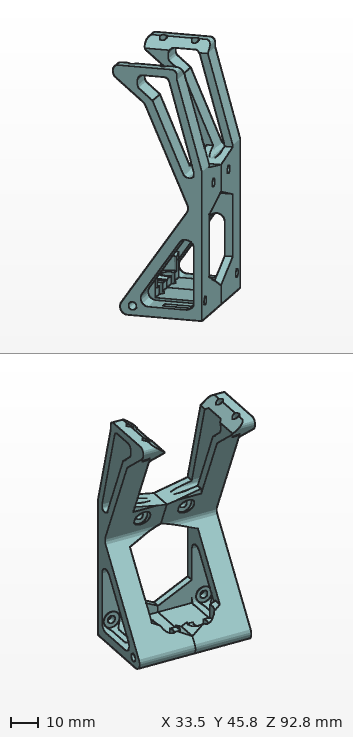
import cadquery as cq
import math


depth = 33.5
width = 45.8
height = 92.8
half_width = width / 2
half_gap = 13.9
plate_middle_y = (half_gap + half_width) / 2

tip_x, tip_z = 28.7, 41.3
bend_x, bend_z = 11.9, 79.4
arm_nose_z = 89.0
arm_top_length = 24.1
arm_back_z = 89.1
rear_face_top = 55.7
outline_radius = 3.0
top_radius = 2.0

wall = 3.1
rear_wall_x = depth - wall
window_radius = 3.0
upper_window_front = 9.3
upper_window_front_z = 85.3
upper_window_bend_x, upper_window_bend_z = 14.9, 80.6
upper_window_bottom = 53.0
upper_window_bottom_x = 27.0
upper_window_rear_z = 55.2
upper_window_radius = 2.0
sill_z = 3.7
lower_window_front_x = 7.8

floor_z = 4.6
front_block_x = 13.2
web_front_x = 23.7
web_ridge_z = 52.2
web_side_z = 54.9
opening_bottom_z = 7.2
opening_bottom_side_z = 14.1
opening_top_side_z = 37.4
opening_top_z = 42.1

arm_chamfer_y = 4.8
arm_chamfer_z = 3.8
arm_hole_diameter = 2.7
arm_hole_front_x = 6.0
arm_hole_rear_x = 18.0

pivot_diameter = 3.0
pivot_x, pivot_z = 7.4, 3.5
web_hole_diameter = 3.0
web_head_diameter = 6.5
web_hole_y, web_hole_z = 9.0, 48.0
web_head_x = 27.9
floor_hole_diameter = 5.3
floor_head_diameter = 9.8
floor_hole_x, floor_hole_y = 11.6, 7.0
floor_head_z = 7.7
rear_hole_diameter = 3.0
rear_head_diameter = 6.5
rear_hole_y, rear_hole_z = 18.9, 6.7
rear_head_start_x = 18.0
rear_head_recess = 0.2
rear_head_seat_x = rear_wall_x + rear_head_recess


def prism_along_y(points, y_from, y_to):
    """Solid with an X-Z outline between two Y positions."""
    sketch = cq.Workplane("XZ", origin=(0, y_from, 0)).polyline(points).close()
    return sketch.extrude(y_from - y_to)


def prism_along_x(points):
    """Solid with a Y-Z outline over the full depth."""
    return cq.Workplane("YZ").polyline(points).close().extrude(depth)


def box(x_range, y_range, z_range):
    """Box given by its limits on each axis."""
    size = [high - low for low, high in (x_range, y_range, z_range)]
    corner = (x_range[0], y_range[0], z_range[0])
    return cq.Workplane("XY").box(*size, centered=False).translate(corner)


def round_corners(body, corners, radius):
    """Round the edges along Y that stand at the given X-Z corners."""
    reach = 0.05
    for x, z in corners:
        selector = cq.selectors.BoxSelector(
            (x - reach, -width, z - reach), (x + reach, width, z + reach)
        )
        body = body.edges("|Y").edges(selector).fillet(radius)
    return body


def side_outline_solid():
    """Full side profile over one half of the width."""
    nose = (0, 0)
    tip = (tip_x, tip_z)
    bend = (bend_x, bend_z)
    arm_nose = (0, arm_nose_z)
    arm_front_top = (0, height)
    arm_rear_top = (arm_top_length, height)
    arm_back = (arm_top_length, arm_back_z)
    points = [
        nose, tip, bend, arm_nose, arm_front_top, arm_rear_top, arm_back,
        (depth, rear_face_top), (depth, 0),
    ]
    body = prism_along_y(points, 0, half_width)
    body = round_corners(body, [nose, tip, bend, arm_nose], outline_radius)
    return round_corners(body, [arm_front_top, arm_rear_top], top_radius)


def upper_window():
    """Window in the arm; it runs on to the middle plane and scoops the top of the web.

    Its foot is one smooth curve from the sloping front edge to the upright rear edge.
    """
    top_z = height - wall
    lean = (depth - arm_top_length) / (arm_back_z - rear_face_top)
    front_top = (upper_window_front, top_z)
    front_low = (upper_window_front, upper_window_front_z)
    bend = (upper_window_bend_x, upper_window_bend_z)
    bottom = (upper_window_bottom_x, upper_window_bottom)
    rear_side = (rear_wall_x, upper_window_rear_z)
    rear_top = (rear_wall_x - lean * (top_z - upper_window_rear_z), top_z)
    fall = math.atan2(bend[1] - bottom[1], bottom[0] - bend[0])
    tangent = window_radius * math.tan(fall / 2)
    down = (math.cos(fall), -math.sin(fall))
    round_start = (bottom[0] - tangent * down[0], bottom[1] - tangent * down[1])
    lowest = (bottom[0] + tangent, bottom[1])
    round_end = (rear_wall_x, lowest[1] + rear_wall_x - lowest[0])
    window = (
        cq.Workplane("XZ")
        .polyline([rear_side, rear_top, front_top, front_low, bend, round_start])
        .spline([lowest, round_end], tangents=[down, (0, 1)], includeCurrent=True)
        .close()
        .extrude(-half_width)
    )
    return round_corners(window, [front_top, front_low, rear_top], upper_window_radius)


def lower_window():
    """Triangular window in the side plate, its front edge parallel to the front slope."""
    front = (lower_window_front_x, sill_z)
    rear = (rear_wall_x, sill_z)
    top = (rear_wall_x, sill_z + (rear_wall_x - lower_window_front_x) * tip_z / tip_x)
    window = prism_along_y([front, rear, top], half_gap, half_width)
    return round_corners(window, [front, rear, top], window_radius)


def arm_gap():
    """Space between the arms, down to the sloping top of the web."""
    above_web = prism_along_x(
        [(0, web_ridge_z), (half_gap, web_side_z), (half_gap, height), (0, height)]
    )
    before_web = box((0, web_front_x), (0, half_gap), (upper_window_bottom, height))
    return above_web.union(before_web)


def middle_opening():
    """Half of the six-sided opening from front to rear, with the pocket over the floor."""
    opening = prism_along_x([
        (0, opening_bottom_z), (half_gap, opening_bottom_side_z),
        (half_gap, opening_top_side_z), (0, opening_top_z),
    ])
    pocket = box((front_block_x, rear_wall_x), (0, half_gap), (floor_z, opening_bottom_side_z))
    return opening.union(pocket)


def arm_chamfer():
    """Wedge off the inner top edge of the arm."""
    return prism_along_x([
        (half_gap, height - arm_chamfer_z), (half_gap + arm_chamfer_y, height), (half_gap, height),
    ])


def cylinder_along_x(diameter, x_from, x_to, y, z):
    """Cylinder between two X positions."""
    sketch = cq.Workplane("YZ", origin=(x_from, y, z)).circle(diameter / 2)
    return sketch.extrude(x_to - x_from)


def cylinder_along_z(diameter, z_from, z_to, x, y):
    """Cylinder between two Z positions."""
    sketch = cq.Workplane("XY", origin=(x, y, z_from)).circle(diameter / 2)
    return sketch.extrude(z_to - z_from)


def pivot_hole():
    """Cross hole along Y near the front of the base."""
    sketch = cq.Workplane("XZ", origin=(pivot_x, 0, pivot_z)).circle(pivot_diameter / 2)
    return sketch.extrude(-half_width)


def arm_hole(x):
    """Vertical hole through the upper bar of the arm."""
    return cylinder_along_z(arm_hole_diameter, upper_window_front_z - wall, height, x, plate_middle_y)


def web_hole():
    """Screw hole through the web, with a head recess from the front."""
    hole = cylinder_along_x(web_hole_diameter, 0, depth, web_hole_y, web_hole_z)
    head = cylinder_along_x(web_head_diameter, 0, web_head_x, web_hole_y, web_hole_z)
    return hole.union(head)


def floor_hole():
    """Vertical screw hole through the floor, with a head recess in the front block."""
    hole = cylinder_along_z(floor_hole_diameter, 0, floor_head_z, floor_hole_x, floor_hole_y)
    head = cylinder_along_z(
        floor_head_diameter, floor_head_z, opening_top_side_z, floor_hole_x, floor_hole_y
    )
    return hole.union(head)


def rear_hole():
    """Screw hole through the rear wall; its head clearance grooves the window sill."""
    hole = cylinder_along_x(rear_hole_diameter, rear_wall_x, depth, rear_hole_y, rear_hole_z)
    head = cylinder_along_x(
        rear_head_diameter, rear_head_start_x, rear_head_seat_x, rear_hole_y, rear_hole_z
    )
    return hole.union(head)


def bracket_half():
    """The half on the +Y side."""
    body = side_outline_solid()
    body = body.cut(upper_window()).cut(lower_window())
    body = body.cut(arm_gap()).cut(middle_opening()).cut(arm_chamfer())
    for x in (arm_hole_front_x, arm_hole_rear_x):
        body = body.cut(arm_hole(x))
    return body.cut(pivot_hole()).cut(web_hole()).cut(floor_hole()).cut(rear_hole())


left_half = bracket_half()
right_half = left_half.mirror("XZ")

result = cq.Compound.makeCompound([left_half.val(), right_half.val()])